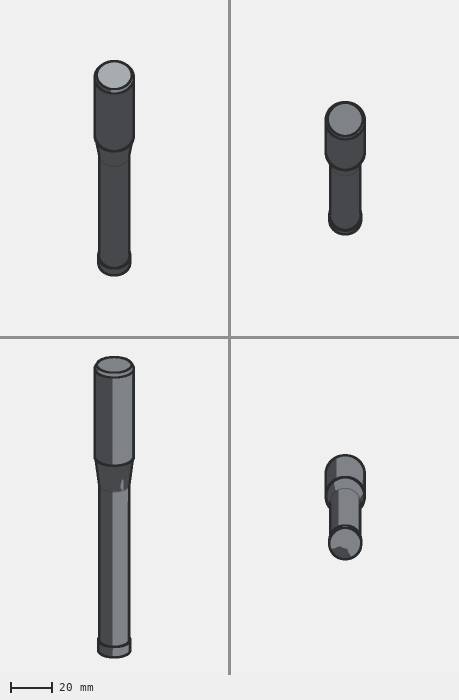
import cadquery as cq

total_length = 157.8
tip_height = 2.8
head_top = 8.5
taper_bottom = 92.5
taper_top = 107.8

shank_diameter = 19.1
taper_top_diameter = 18.5
neck_diameter = 14.7
head_diameter = 15.6

chamfer_height = 2.0
chamfer_width = 1.1


def revolve_profile(points):
    """Turn a closed (radius, height) outline about the Z axis."""
    return cq.Workplane("XZ").polyline(points).close().revolve(360, (0, 0), (0, 1))


def make_cutting_head():
    """Short cylinder with a shallow conical point."""
    radius = head_diameter / 2
    return revolve_profile([
        (0, 0),
        (radius, tip_height),
        (radius, head_top),
        (0, head_top),
    ])


def make_holder():
    """Slim neck, taper and chamfered shank standing on the cutting head."""
    neck_radius = neck_diameter / 2
    shank_radius = shank_diameter / 2
    return revolve_profile([
        (0, head_top),
        (neck_radius, head_top),
        (neck_radius, taper_bottom),
        (taper_top_diameter / 2, taper_top),
        (shank_radius, taper_top),
        (shank_radius, total_length - chamfer_height),
        (shank_radius - chamfer_width, total_length),
        (0, total_length),
    ])


cutting_head = make_cutting_head()
holder = make_holder()

result = cq.Compound.makeCompound([cutting_head.val(), holder.val()])